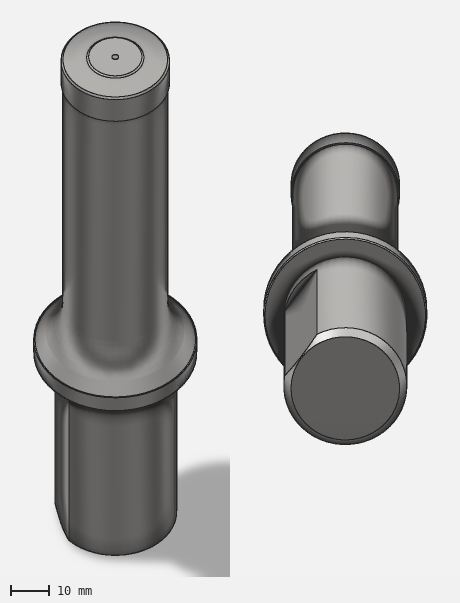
import cadquery as cq
import math

total_height = 169.5
flange_bottom = 60.2
flange_height = 5.1
flare_top = 78.5
head_height = 9.5
flat_top = 55.1

shank_diameter = 31.7
flange_diameter = 42.0
flare_base_diameter = 41.4
neck_diameter = 27.1
head_diameter = 28.0
button_diameter = 14.7
dimple_diameter = 1.7

shank_chamfer = 1.9
flange_chamfer = 0.3
rim_chamfer = 0.5
button_height = 0.3
button_edge_width = 0.5
rim_drop = 1.0
dimple_depth = 0.2
flat_distance = 14.2

shank_radius = shank_diameter / 2
flange_radius = flange_diameter / 2
neck_radius = neck_diameter / 2
head_radius = head_diameter / 2
flange_top = flange_bottom + flange_height
head_bottom = total_height - head_height
rim_height = total_height - rim_drop

flare_angle = math.radians(45)
flare_sine = math.sin(flare_angle)
flare_setback = 1 - math.cos(flare_angle)
flare_drop = flare_top - flange_top
flare_spread = flare_base_diameter / 2 - neck_radius
flare_radius = (flare_drop - flare_spread) / (flare_sine - flare_setback)


def flare_point(angle):
    """Point on the flare arc, at an angle measured down from its tangency with the neck."""
    radius = neck_radius + flare_radius * (1 - math.cos(angle))
    height = flare_top - flare_radius * math.sin(angle)
    return radius, height


def make_holder():
    """Turned holder with a flange, a flared neck and a clamping flat."""
    holder = (
        cq.Workplane("XZ")
        .moveTo(0, 0)
        .lineTo(shank_radius - shank_chamfer, 0)
        .lineTo(shank_radius, shank_chamfer)
        .lineTo(shank_radius, flange_bottom)
        .lineTo(flange_radius - flange_chamfer, flange_bottom)
        .lineTo(flange_radius, flange_bottom + flange_chamfer)
        .lineTo(flange_radius, flange_top)
        .lineTo(flare_base_diameter / 2, flange_top)
        .lineTo(*flare_point(flare_angle))
        .threePointArc(flare_point(flare_angle / 2), (neck_radius, flare_top))
        .lineTo(neck_radius, head_bottom)
        .lineTo(0, head_bottom)
        .close()
        .revolve(360, (0, 0, 0), (0, 1, 0))
    )
    flat_depth = flange_radius - flat_distance
    flat_cut = (
        cq.Workplane("XY")
        .box(shank_diameter, flat_depth, flat_top, centered=(True, False, False))
        .translate((0, -flange_radius, 0))
    )
    return holder.cut(flat_cut)


def make_head():
    """Cutting head with a shallow conical end face, a low central button and a center dimple."""
    button_radius = button_diameter / 2
    return (
        cq.Workplane("XZ")
        .moveTo(0, head_bottom)
        .lineTo(head_radius, head_bottom)
        .lineTo(head_radius, rim_height - rim_chamfer)
        .lineTo(head_radius - rim_chamfer, rim_height)
        .lineTo(button_radius, total_height - button_height)
        .lineTo(button_radius - button_edge_width, total_height)
        .lineTo(dimple_diameter / 2, total_height)
        .lineTo(dimple_diameter / 2, total_height - dimple_depth)
        .lineTo(0, total_height - dimple_depth)
        .close()
        .revolve(360, (0, 0, 0), (0, 1, 0))
    )


holder = make_holder()
head = make_head()
result = cq.Compound.makeCompound([holder.val(), head.val()])